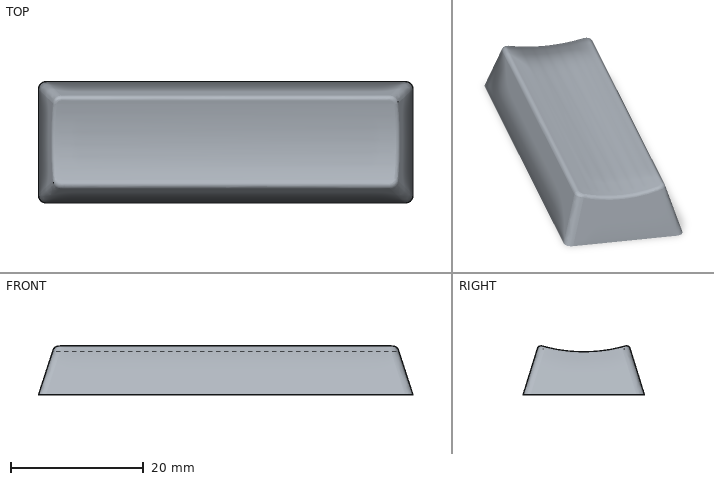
import cadquery as cq
import math

length = 56.4
width = 18.3

end_draft = 18.0
side_draft = 17.25

dish_bottom = 6.49
dish_radius = 22.7

corner_radius = 1.25
rim_radius = 0.6

block_height = 8.5
dish_overrun = 5.0


def tapered_block():
    """Four-sided block with leaning walls and rounded corner edges."""
    end_inset = block_height * math.tan(math.radians(end_draft))
    side_inset = block_height * math.tan(math.radians(side_draft))
    block = (
        cq.Workplane("XY")
        .rect(length, width)
        .workplane(offset=block_height)
        .rect(length - 2 * end_inset, width - 2 * side_inset)
        .loft(ruled=True)
    )
    corner_edges = block.edges("not(#Z)")
    return corner_edges.fillet(corner_radius)


def dish_cutter():
    """Cylinder along X whose lowest line lies at the dish bottom."""
    cutter_length = length + 2 * dish_overrun
    return (
        cq.Workplane("YZ", origin=(-cutter_length / 2, 0, dish_bottom + dish_radius))
        .circle(dish_radius)
        .extrude(cutter_length)
    )


def round_rim(body):
    """Round the whole edge loop between the dish and the walls."""
    rim_edges = body.faces(">Z").edges()
    return rim_edges.fillet(rim_radius)


dished_block = tapered_block().cut(dish_cutter())
result = round_rim(dished_block)